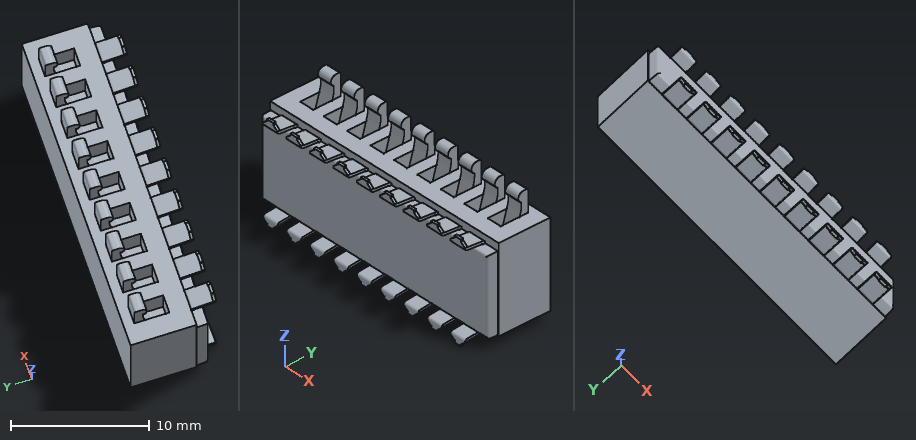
import cadquery as cq
import math


length = 24.8
overall_height = 11.15
housing_depth = 5.03
housing_height = 8.13

poles = 9
row_span = 20.3
pitch = row_span / (poles - 1)
positions = [i * pitch - row_span / 2 for i in range(poles)]

base_side_inset = 0.1
base_bottom_inset = 0.07
base_top_inset = 0.75
base_depth = 0.97
flange_depth = 0.22
base_draft = 2.8
base_rim_radius = 0.22
base_length = length - 2 * base_side_inset
base_height = housing_height - base_bottom_inset - base_top_inset
base_middle = base_bottom_inset + base_height / 2

lever_width = 1.41
lever_back = housing_depth - 0.8
lever_rise = 2.1
lever_top = housing_height + lever_rise
lever_corner_radius = 0.2
knob_radius = 0.5
knob_depth = 0.97
neck_depth = 0.67
neck_flare_start = 1.22
neck_flare_end = 1.84
ramp_angle = math.radians(16)
ramp_reach = 1.7
ramp_foot_radius = 0.32
pocket_length = 2.68

pin_width = 1.59
pin_thickness = 0.25
pin_reach = 1.98
pin_splay = math.radians(5)
pin_root_depth = 0.25
pin_half_span = 3.95
pin_inner_radius = 0.02
pin_outer_radius = 0.25
foot_half_span = overall_height - lever_top + base_middle
foot_tip_width = 0.7
foot_tip_length = 0.17
foot_taper_height = 0.35


def make_housing():
    return cq.Workplane("XY").box(length, housing_depth, housing_height, centered=(True, False, False))


def make_base():
    front = cq.Workplane("XZ").center(0, base_middle)
    flange = front.rect(base_length, base_height).extrude(flange_depth)
    block = (
        front.workplane(offset=flange_depth)
        .rect(base_length, base_height)
        .extrude(base_depth - flange_depth, taper=base_draft)
        .faces("<Y")
        .edges()
        .fillet(base_rim_radius)
    )
    return flange.union(block)


neck_y = lever_back - neck_depth
flare_radius = (neck_flare_end - neck_flare_start) / math.sin(ramp_angle)
foot_y = lever_back - ramp_reach
ramp_top_y = neck_y - flare_radius * (1 - math.cos(ramp_angle))
ramp_top_z = lever_top - neck_flare_end
ramp_end_y = foot_y + ramp_foot_radius * math.cos(ramp_angle)
ramp_end_z = ramp_top_z - (ramp_top_y - ramp_end_y) / math.tan(ramp_angle)
pocket_floor = ramp_end_z - ramp_foot_radius * (1 - math.sin(ramp_angle))


def point_on_circle(center, radius, angle):
    return (center[0] + radius * math.cos(angle), center[1] + radius * math.sin(angle))


def make_lever():
    knob_center = (lever_back - knob_depth + knob_radius, lever_top - knob_radius)
    knob_end_z = knob_center[1] - math.sqrt(knob_radius**2 - (knob_center[0] - neck_y) ** 2)
    corner_center = (lever_back - lever_corner_radius, lever_top - lever_corner_radius)
    flare_center = (neck_y - flare_radius, lever_top - neck_flare_start)
    foot_center = (foot_y, pocket_floor + ramp_foot_radius)
    foot_middle_angle = (-math.pi / 2 - ramp_angle) / 2
    return (
        cq.Workplane("YZ")
        .moveTo(lever_back, pocket_floor)
        .lineTo(lever_back, corner_center[1])
        .threePointArc(
            point_on_circle(corner_center, lever_corner_radius, math.pi / 4),
            (corner_center[0], lever_top),
        )
        .lineTo(knob_center[0], lever_top)
        .threePointArc((lever_back - knob_depth, knob_center[1]), (neck_y, knob_end_z))
        .lineTo(neck_y, flare_center[1])
        .threePointArc(
            point_on_circle(flare_center, flare_radius, -ramp_angle / 2),
            (ramp_top_y, ramp_top_z),
        )
        .lineTo(ramp_end_y, ramp_end_z)
        .threePointArc(
            point_on_circle(foot_center, ramp_foot_radius, foot_middle_angle),
            (foot_y, pocket_floor),
        )
        .close()
        .extrude(lever_width / 2, both=True)
    )


def make_pocket():
    return (
        cq.Workplane("XY", origin=(0, lever_back - pocket_length / 2, pocket_floor))
        .rect(lever_width, pocket_length)
        .extrude(housing_height - pocket_floor)
    )


def make_pin():
    """Upper pin at X = 0, with heights counted from the middle of the base."""
    arm_drop = pin_thickness / math.cos(pin_splay)
    leg_end_z = pin_half_span - arm_drop - pin_root_depth

    def outer_z(y):
        return pin_half_span - y * math.tan(pin_splay)

    def inner_z(y):
        return outer_z(y) - arm_drop

    root_outer = (0, outer_z(0))
    root_inner = (-pin_thickness, inner_z(-pin_thickness))
    foot_outer = (-pin_reach, inner_z(-pin_reach))
    foot_inner = (pin_thickness - pin_reach, outer_z(pin_thickness - pin_reach))
    bent_strip = (
        cq.Workplane("YZ")
        .polyline(
            [
                (0, leg_end_z),
                root_outer,
                foot_inner,
                (foot_inner[0], foot_half_span),
                (-pin_reach, foot_half_span),
                foot_outer,
                root_inner,
                (-pin_thickness, leg_end_z),
            ]
        )
        .close()
        .extrude(pin_width / 2, both=True)
    )
    bends = [
        (root_outer, pin_outer_radius),
        (root_inner, pin_inner_radius),
        (foot_outer, pin_outer_radius),
        (foot_inner, pin_inner_radius),
    ]
    for (y, z), radius in bends:
        bent_strip = bent_strip.edges(cq.selectors.NearestToPointSelector((0, y, z))).fillet(radius)

    shoulder_z = foot_half_span - foot_tip_length - foot_taper_height
    silhouette = (
        cq.Workplane("XZ")
        .polyline(
            [
                (-pin_width / 2, 0),
                (-pin_width / 2, shoulder_z),
                (-foot_tip_width / 2, shoulder_z + foot_taper_height),
                (-foot_tip_width / 2, foot_half_span),
                (foot_tip_width / 2, foot_half_span),
                (foot_tip_width / 2, shoulder_z + foot_taper_height),
                (pin_width / 2, shoulder_z),
                (pin_width / 2, 0),
            ]
        )
        .close()
        .extrude(pin_reach)
    )
    return bent_strip.intersect(silhouette)


result = make_housing().union(make_base())
pocket = make_pocket()
lever = make_lever()
upper_pin = make_pin()
lower_pin = upper_pin.mirror("XY")
for x in positions:
    result = result.cut(pocket.translate((x, 0, 0)))
    result = result.union(lever.translate((x, 0, 0)))
    for pin in (upper_pin, lower_pin):
        result = result.union(pin.translate((x, 0, base_middle)))